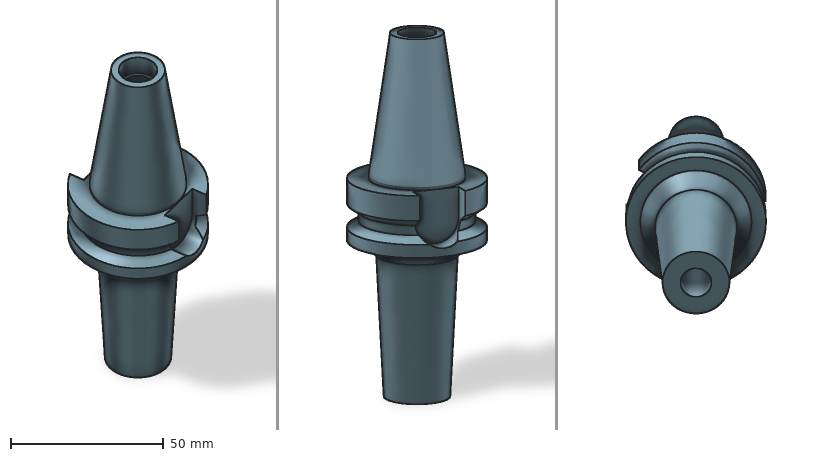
import cadquery as cq

total_height = 123.4

shank_length = 48.4
gauge_radius = 15.9
taper_ratio = 7 / 24
gauge_z = total_height - shank_length
shank_top_radius = gauge_radius - shank_length * taper_ratio / 2

flange_diameter = 46.0
flange_radius = flange_diameter / 2
flange_gap = 1.0
flange_thickness = 21.1
groove_radius = 19.3
groove_start_depth = 8.5
groove_floor_top_depth = 11.1
groove_floor_bottom_depth = 14.4
groove_end_depth = 16.7
flange_top_z = gauge_z - flange_gap
flange_bottom_z = flange_top_z - flange_thickness

collar_top_radius = 18.3
collar_height = 4.9
nose_top_radius = 13.5
nose_tip_radius = 11.0
nose_top_z = flange_bottom_z - collar_height

slot_width = 16.2
slot_depth = 18.3
slot_floor_x = 16.0
slot_radius = slot_width / 2

bore_radius = 5.0
counterbore_radius = 6.3
counterbore_depth = 6.8


def make_body():
    """Revolve the half outline of the holder about Z."""
    outline = [
        (0, 0),
        (nose_tip_radius, 0),
        (nose_top_radius, nose_top_z),
        (collar_top_radius, flange_bottom_z),
        (flange_radius, flange_bottom_z),
        (flange_radius, flange_top_z - groove_end_depth),
        (groove_radius, flange_top_z - groove_floor_bottom_depth),
        (groove_radius, flange_top_z - groove_floor_top_depth),
        (flange_radius, flange_top_z - groove_start_depth),
        (flange_radius, flange_top_z),
        (gauge_radius, flange_top_z),
        (gauge_radius, gauge_z),
        (shank_top_radius, total_height),
        (0, total_height),
    ]
    return cq.Workplane("XZ").polyline(outline).close().revolve(360, (0, 0, 0), (0, 1, 0))


def make_slot_cutter(side):
    """Open-topped slot with a half-round lower end; side is +1 or -1 along X."""
    arc_center_z = flange_top_z - slot_depth + slot_radius
    radial_length = flange_radius - slot_floor_x
    return (
        cq.Workplane("YZ", origin=(side * slot_floor_x, 0, 0))
        .moveTo(-slot_radius, flange_top_z)
        .lineTo(-slot_radius, arc_center_z)
        .threePointArc((0, arc_center_z - slot_radius), (slot_radius, arc_center_z))
        .lineTo(slot_radius, flange_top_z)
        .close()
        .extrude(side * radial_length)
    )


def make_bore_cutter():
    """Through bore joined with the wider counterbore at the shank end."""
    bore = cq.Workplane("XY").circle(bore_radius).extrude(total_height)
    counterbore = (
        cq.Workplane("XY", origin=(0, 0, total_height - counterbore_depth))
        .circle(counterbore_radius)
        .extrude(counterbore_depth)
    )
    return bore.union(counterbore)


result = make_body().cut(make_bore_cutter())
for side in (-1, 1):
    result = result.cut(make_slot_cutter(side))